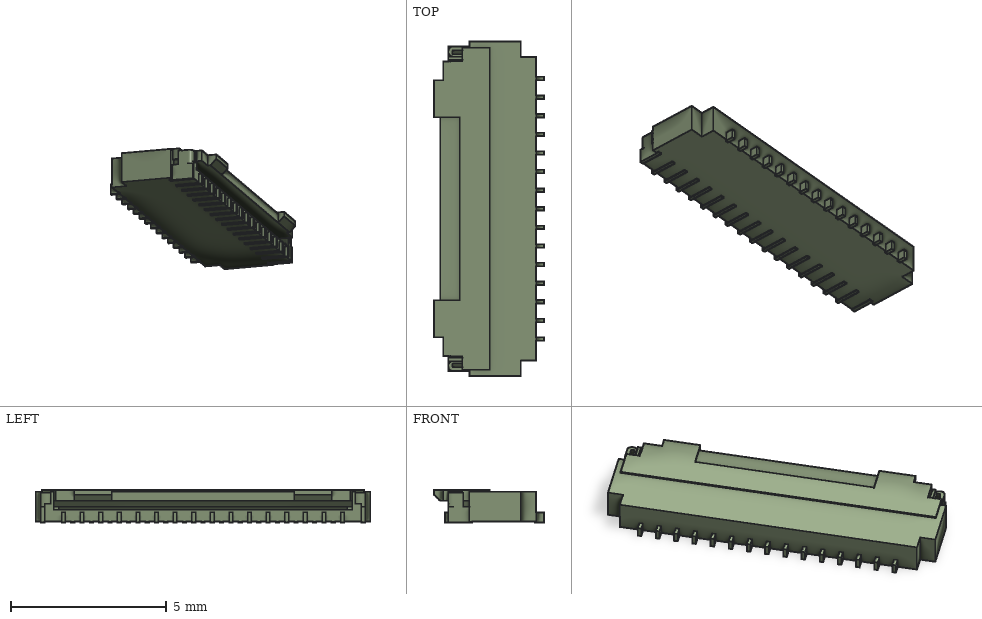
import cadquery as cq

total_height = 1.05
housing_bottom = 0.03
housing_top = 1.0

housing_front = -1.32
block_front = -0.635
block_rear = 1.03
housing_rear = 1.52
block_half_width = 5.4
rear_half_width = 4.9

plate_rear = 0.02
plate_notch = -0.86
plate_shoulder = -1.48
plate_bottom = 0.7
plate_half_width = 5.2
shoulder_half_width = 4.75

lip_front = -1.775
lip_chamfer = 0.2
lip_outer = 4.15
lip_inner = 2.95
recess_front = lip_front + lip_chamfer
recess_rear = -0.95
recess_depth = total_height - housing_top

mouth_half_width = 4.81
mouth_floor = 0.41
mouth_rear = block_front
slot_half_width = 4.65
slot_roof = 0.505
slot_rear = -0.4
ledge_front = -1.25

foot_overlap = 0.1
tail_overlap = 0.04

contact_pitch = 0.6
front_contact_count = 16
rear_contact_count = front_contact_count - 1
contact_width = 0.12
contact_height = 0.325
front_contact_tip = -1.42
front_contact_root = block_front + foot_overlap
rear_contact_tip = 1.775
rear_contact_root = housing_rear - tail_overlap

nail_outer = 5.235
nail_inner = 4.91
sheet_thickness = 0.13
inner_arm_thickness = 0.07
nail_foot_rear = block_front + foot_overlap
nail_arm_rear = -0.83
nail_foot_top = 0.505
nail_seat = 0.605
nail_top = 0.965
foot_inner = nail_outer - sheet_thickness
nail_fold_radius = (nail_outer - nail_inner) / 2


def box(x0, x1, y0, y1, z0, z1):
    """Box between the given limits."""
    return cq.Workplane("XY").box(x1 - x0, y1 - y0, z1 - z0, centered=False).translate((x0, y0, z0))


def wide_box(x0, x1, half_width, z0, z1):
    """Box centred on the XZ plane."""
    return box(x0, x1, -half_width, half_width, z0, z1)


def with_mirror(shape):
    """The +Y end shape and its mirror image at the -Y end, as a list."""
    return [shape, shape.mirror("XZ")]


def make_nail():
    """Nail at the +Y end: a flat foot whose upper half folds back into a U open towards +X."""
    foot = box(housing_front, nail_foot_rear, foot_inner, nail_outer, 0, nail_foot_top)
    fold_center = housing_front + nail_fold_radius
    fold_middle = (nail_outer + nail_inner) / 2
    gap_outer = foot_inner
    gap_inner = nail_inner + inner_arm_thickness
    gap_radius = (gap_outer - gap_inner) / 2
    gap_center = housing_front + sheet_thickness + gap_radius
    gap_middle = (gap_outer + gap_inner) / 2
    fold = (
        cq.Workplane("XY", origin=(0, 0, nail_foot_top))
        .moveTo(nail_arm_rear, nail_outer)
        .lineTo(fold_center, nail_outer)
        .threePointArc((housing_front, fold_middle), (fold_center, nail_inner))
        .lineTo(plate_notch, nail_inner)
        .lineTo(plate_notch, gap_inner)
        .lineTo(gap_center, gap_inner)
        .threePointArc((gap_center - gap_radius, gap_middle), (gap_center, gap_outer))
        .lineTo(nail_arm_rear, gap_outer)
        .close()
        .extrude(nail_top - nail_foot_top)
    )
    below_seat = box(housing_front, nail_arm_rear, nail_inner, foot_inner, nail_foot_top, nail_seat)
    return foot.union(fold.cut(below_seat))


def make_housing_shell():
    """Housing with its cable opening and the seats for the nail folds."""
    front = wide_box(housing_front, block_front, foot_inner, housing_bottom, housing_top)
    block = wide_box(block_front, block_rear, block_half_width, housing_bottom, housing_top)
    rear = wide_box(block_rear, housing_rear, rear_half_width, housing_bottom, housing_top)
    shell = front.union(block).union(rear)

    mouth = wide_box(housing_front, mouth_rear, mouth_half_width, mouth_floor, housing_top)
    ledge = box(ledge_front, mouth_rear, slot_half_width, mouth_half_width, mouth_floor, slot_roof)
    slot = wide_box(mouth_rear, slot_rear, slot_half_width, mouth_floor, slot_roof)
    seat = box(housing_front, plate_notch, nail_inner, foot_inner, nail_seat, housing_top)
    shell = shell.cut(mouth).cut(slot)
    for end_ledge in with_mirror(ledge):
        shell = shell.union(end_ledge)
    for end_seat in with_mirror(seat):
        shell = shell.cut(end_seat)
    return shell


def make_locking_plate():
    """Stepped plate with a recessed front edge between two chamfered lips."""
    rear = wide_box(plate_notch, plate_rear, plate_half_width, plate_bottom, total_height)
    shoulder = wide_box(plate_shoulder, plate_notch, shoulder_half_width, plate_bottom, total_height)
    edge = wide_box(recess_front, plate_notch, lip_inner, plate_bottom, total_height)
    recess = wide_box(recess_front, recess_rear, lip_inner, total_height - recess_depth, total_height)
    plate = rear.union(shoulder).union(edge).cut(recess)
    lip = (
        cq.Workplane("XZ", origin=(0, lip_outer, 0))
        .moveTo(plate_notch, total_height)
        .lineTo(lip_front, total_height)
        .lineTo(lip_front, plate_bottom + lip_chamfer)
        .lineTo(lip_front + lip_chamfer, plate_bottom)
        .lineTo(plate_notch, plate_bottom)
        .close()
        .extrude(lip_outer - lip_inner)
    )
    for end_lip in with_mirror(lip):
        plate = plate.union(end_lip)
    return plate


def add_contact_row(body, count, x0, x1):
    """Add one row of contact tails, centred on the connector."""
    for index in range(count):
        y = (index - (count - 1) / 2) * contact_pitch
        tail = box(x0, x1, y - contact_width / 2, y + contact_width / 2, 0, contact_height)
        body = body.union(tail)
    return body


def make_housing(nails):
    """Housing with its locking plate and contact tails, recessed where the nails sit in it."""
    housing = make_housing_shell().union(make_locking_plate())
    housing = add_contact_row(housing, front_contact_count, front_contact_tip, front_contact_root)
    housing = add_contact_row(housing, rear_contact_count, rear_contact_root, rear_contact_tip)
    for nail in nails:
        housing = housing.cut(nail)
    return housing


nails = with_mirror(make_nail())
housing = make_housing(nails)

bodies = housing.solids().vals()
for nail in nails:
    bodies += nail.solids().vals()
result = cq.Compound.makeCompound(bodies)